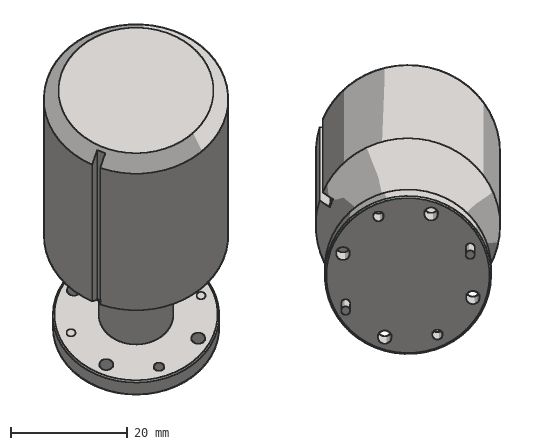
import cadquery as cq

total_height = 73.7
flange_bottom = 3.9
flange_thickness = 4.1
flange_top = flange_bottom + flange_thickness
neck_top = 21.6
barrel_bottom = 31.1
top_chamfer_height = 2.5

barrel_diameter = 31.8
top_face_diameter = 26.7
neck_diameter = 12.9
flange_diameter = 28.7
flange_edge_chamfer = 0.3

slot_width = 1.55
slot_floor_radius = 13.9
slot_bottom = 29.4

pitch_radius = 11.9
screw_hole_diameter = 2.35
pin_diameter = 1.55
dowel_hole_diameter = 1.8
screw_angles = [0, 90, 180, 270]
pin_angles = [45, 225]
dowel_hole_angles = [135, 315]


def flange_cylinder(angle, diameter, bottom, top):
    """Vertical cylinder centred on the pitch circle at the given angle."""
    return (
        cq.Workplane("XY", origin=(0, 0, bottom))
        .polarArray(pitch_radius, angle, 360, 1)
        .circle(diameter / 2)
        .extrude(top - bottom)
    )


def make_flange():
    return (
        cq.Workplane("XY", origin=(0, 0, flange_bottom))
        .circle(flange_diameter / 2)
        .extrude(flange_thickness)
        .edges("%CIRCLE")
        .chamfer(flange_edge_chamfer)
    )


def make_barrel_and_neck():
    """Neck, cone and chamfered barrel, revolved from a half profile in XZ."""
    return (
        cq.Workplane("XZ")
        .moveTo(0, flange_top)
        .lineTo(neck_diameter / 2, flange_top)
        .lineTo(neck_diameter / 2, neck_top)
        .lineTo(barrel_diameter / 2, barrel_bottom)
        .lineTo(barrel_diameter / 2, total_height - top_chamfer_height)
        .lineTo(top_face_diameter / 2, total_height)
        .lineTo(0, total_height)
        .close()
        .revolve(360, (0, 0, 0), (0, 1, 0))
    )


def make_slot():
    """Flat-floored slot on the -Y side, open through the top chamfer."""
    slot_reach = barrel_diameter / 2
    return (
        cq.Workplane("XY", origin=(0, -slot_floor_radius - slot_reach, slot_bottom))
        .box(slot_width, slot_reach, total_height - slot_bottom, centered=(True, False, False))
    )


def make_housing():
    housing = make_flange().union(make_barrel_and_neck()).cut(make_slot())
    for angle in screw_angles:
        housing = housing.cut(flange_cylinder(angle, screw_hole_diameter, flange_bottom, flange_top))
    for angle in dowel_hole_angles:
        housing = housing.cut(flange_cylinder(angle, dowel_hole_diameter, flange_bottom, flange_top))
    for angle in pin_angles:
        housing = housing.cut(flange_cylinder(angle, pin_diameter, flange_bottom, flange_top))
    return housing


def make_pin(angle):
    """Dowel pin, flush with the flange top and standing out below it."""
    return flange_cylinder(angle, pin_diameter, 0, flange_top)


housing = make_housing()
pins = [make_pin(angle) for angle in pin_angles]

result = cq.Compound.makeCompound([housing.val(), *[pin.val() for pin in pins]])